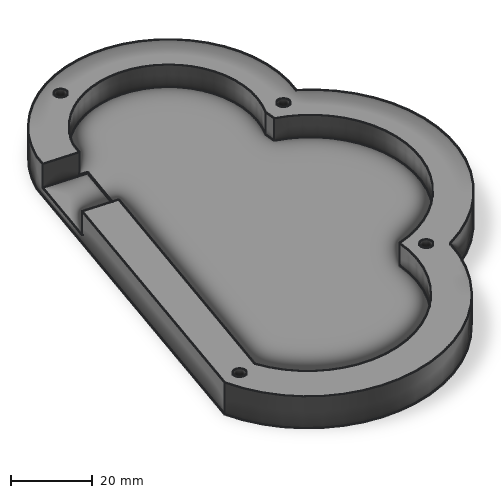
import cadquery as cq
import math

thickness = 10.0
floor_thickness = 3.0
wall = 10.0

base_start_x = 30.0
base_end_x = 130.0
left_radius = 34.3
right_radius = 40.1
top_radius = 39.8
side_lobe_y = math.sqrt(left_radius**2 - (left_radius - base_start_x) ** 2)
left_center = (left_radius, side_lobe_y)
right_center = (148.5 - right_radius, side_lobe_y)
top_center = (72.6, 93.1 - top_radius)

lip_start_x = 40.1
lip_end_x = 43.2
pocket_base_y = 10.1

notch_start_x = 33.3
notch_end_x = 54.2
notch_depth_y = 12.3
notch_floor = 2.5

hole_diameter = 3.4
hole_points = [(10.5, 16.6), (38.8, 63.3), (104.0, 68.9), (128.2, 5.2)]


def circle_point_at_x(center, radius, x, side):
    """Point of a circle at the given x; side is +1 for the upper half, -1 for the lower."""
    return (x, center[1] + side * math.sqrt(radius**2 - (x - center[0]) ** 2))


def upper_crossing(center_a, radius_a, center_b, radius_b):
    """Upper crossing point of two circles, for center_a to the left of center_b."""
    dx = center_b[0] - center_a[0]
    dy = center_b[1] - center_a[1]
    distance = math.hypot(dx, dy)
    along = (distance**2 + radius_a**2 - radius_b**2) / (2 * distance)
    across = math.sqrt(radius_a**2 - along**2)
    return (
        center_a[0] + (along * dx - across * dy) / distance,
        center_a[1] + (along * dy + across * dx) / distance,
    )


def point_at_angle(center, radius, degrees):
    """Point of a circle at an angle measured from +X."""
    angle = math.radians(degrees)
    return (center[0] + radius * math.cos(angle), center[1] + radius * math.sin(angle))


def cloud(base_start, left_end, top_start, top_end, base_end, inset, height):
    """Solid cloud with its lobes shrunk by inset; a straight lip joins left_end to top_start."""
    outline = cq.Workplane("XY").moveTo(*base_start)
    outline = outline.threePointArc(point_at_angle(left_center, left_radius - inset, 180), left_end)
    if left_end != top_start:
        outline = outline.lineTo(*top_start)
    outline = outline.threePointArc(point_at_angle(top_center, top_radius - inset, 90), top_end)
    outline = outline.threePointArc(point_at_angle(right_center, right_radius - inset, 0), base_end)
    return outline.close().extrude(height)


def make_body():
    left_joint = upper_crossing(left_center, left_radius, top_center, top_radius)
    return cloud(
        base_start=circle_point_at_x(left_center, left_radius, base_start_x, -1),
        left_end=left_joint,
        top_start=left_joint,
        top_end=upper_crossing(top_center, top_radius, right_center, right_radius),
        base_end=circle_point_at_x(right_center, right_radius, base_end_x, -1),
        inset=0,
        height=thickness,
    )


def make_pocket():
    left_inner = left_radius - wall
    top_inner = top_radius - wall
    right_inner = right_radius - wall
    base_drop = side_lobe_y - pocket_base_y
    pocket = cloud(
        base_start=(left_center[0] - math.sqrt(left_inner**2 - base_drop**2), pocket_base_y),
        left_end=circle_point_at_x(left_center, left_inner, lip_start_x, 1),
        top_start=circle_point_at_x(top_center, top_inner, lip_end_x, 1),
        top_end=upper_crossing(top_center, top_inner, right_center, right_inner),
        base_end=(right_center[0] + math.sqrt(right_inner**2 - base_drop**2), pocket_base_y),
        inset=wall,
        height=thickness - floor_thickness,
    )
    return pocket.translate((0, 0, floor_thickness))


def make_notch():
    notch = cq.Workplane("XY").box(
        notch_end_x - notch_start_x, notch_depth_y, thickness - notch_floor, centered=False
    )
    return notch.translate((notch_start_x, 0, notch_floor))


def make_holes():
    return cq.Workplane("XY").pushPoints(hole_points).circle(hole_diameter / 2).extrude(thickness)


result = make_body().cut(make_pocket()).cut(make_notch()).cut(make_holes())